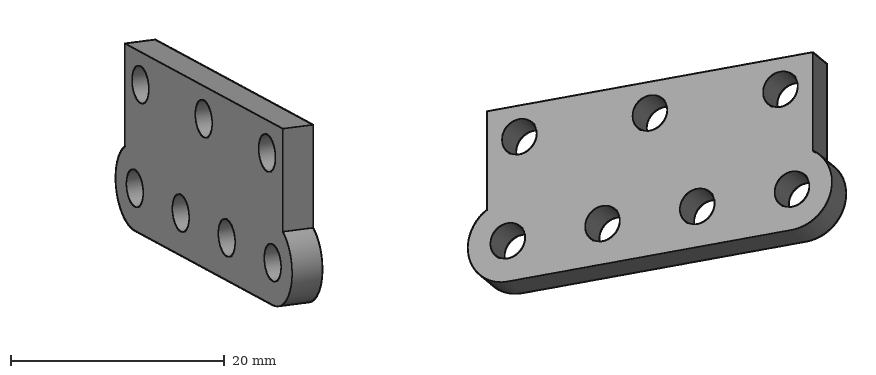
import cadquery as cq

overall_width = 37.59
height = 17.64
thickness = 3.175

body_width = 33.63

ear_radius = 4.13
ear_offset = overall_width / 2 - ear_radius

hole_diameter = 3.57
upper_hole_count = 3
upper_hole_pitch = 13.47
upper_hole_edge_distance = 3.175
lower_hole_count = 4
lower_hole_pitch = 2 * ear_offset / (lower_hole_count - 1)

bottom_z = -height / 2
top_z = height / 2
lower_row_z = bottom_z + ear_radius
upper_row_z = top_z - upper_hole_edge_distance


def block(width, low_z, high_z):
    """Plate of the full thickness, centred in X, between two heights."""
    centre_z = (low_z + high_z) / 2
    return cq.Workplane("XY").box(width, thickness, high_z - low_z).translate((0, 0, centre_z))


def row_of_cylinders(count, pitch, z, diameter):
    """Evenly spaced cylinders along X, running through the thickness."""
    first_x = -pitch * (count - 1) / 2
    centres = [(first_x + i * pitch, z) for i in range(count)]
    return (
        cq.Workplane("XZ")
        .pushPoints(centres)
        .circle(diameter / 2)
        .extrude(thickness / 2, both=True)
    )


def plate_body():
    """Rectangular body joined to a lower bar with rounded ears."""
    upper_body = block(body_width, lower_row_z, top_z)
    lower_bar = block(2 * ear_offset, bottom_z, lower_row_z)
    ears = row_of_cylinders(2, 2 * ear_offset, lower_row_z, 2 * ear_radius)
    return upper_body.union(lower_bar).union(ears).clean()


upper_holes = row_of_cylinders(upper_hole_count, upper_hole_pitch, upper_row_z, hole_diameter)
lower_holes = row_of_cylinders(lower_hole_count, lower_hole_pitch, lower_row_z, hole_diameter)

result = plate_body().cut(upper_holes).cut(lower_holes)